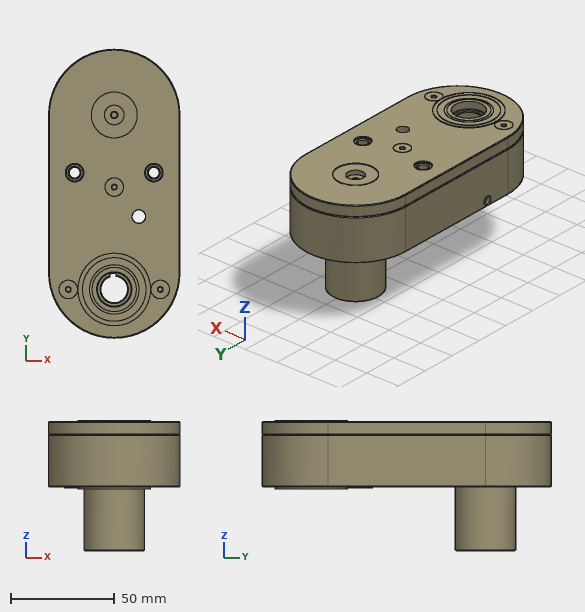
import cadquery as cq

length = 139.7
width = 63.5
body_height = 25.3
cover_height = 6.4
edge_chamfer = 0.4
end_y = (length - width) / 2
top_z = body_height + cover_height

shaft_diameter = 29.3
shaft_length = 30.9
shaft_chamfer = 0.5

hub_y = -46.2
boss_diameter = 35.0
boss_top_height = 0.4
boss_bottom_height = 1.0
seat_diameter = 30.7
seat_depth = 0.3
ring_outer_diameter = 23.9
ring_inner_diameter = 21.4
ring_groove_depth = 0.1
hub_counterbore_diameter = 17.0
hub_floor_chamfer = 0.4
hub_counterbore_depth = 4.5
bore_diameter = 12.9
bore_chamfer = 0.4
keyway_width = 3.0
keyway_reach = 7.7
keyway_angle = 5.0

cap_diameter = 22.2
cap_depth = 0.4
cap_counterbore_diameter = 9.5
cap_counterbore_depth = 2.5
center_hole_diameter = 2.8
center_hole_chamfer = 0.35
center_hole_depth = 2.8

mount_x = 19.1
mount_y = 10.2
mount_counterbore_diameter = 8.1
mount_counterbore_depth = 0.5
mount_mouth_chamfer = 0.4
mount_hole_diameter = 5.2
mount_hole_chamfer = 0.5

plain_x = 11.9
plain_y = -11.0
plain_diameter = 6.4

screw_head_diameter = 9.0
screw_head_depth = 0.1
socket_diameter = 2.2
socket_chamfer = 0.3
socket_depth = 1.4
side_screw_x = 22.2
middle_screw_y = 3.2
screw_points = [(0, middle_screw_y), (-side_screw_x, hub_y), (side_screw_x, hub_y)]

set_screw_y = -23.0
set_screw_z = 3.0
set_screw_diameter = 4.0
set_screw_mouth_diameter = 5.2
set_screw_depth = 2.1
pad_x = -17.5
pad_diameter = 13.1
pad_height = 0.4


def cylinder(diameter, bottom_z, height, x=0.0, y=0.0):
    return cq.Workplane("XY", origin=(x, y, bottom_z)).circle(diameter / 2).extrude(height)


def pocket(diameter, mouth_z, depth, x=0.0, y=0.0):
    """Cutter going down from mouth_z."""
    return cylinder(diameter, mouth_z - depth, depth, x, y)


def countersink(diameter, chamfer, mouth_z, x, y):
    """45 degree cone cutter widening a hole by the chamfer at its mouth."""
    radius = diameter / 2
    floor = cq.Vector(x, y, mouth_z - chamfer)
    return cq.Workplane(cq.Solid.makeCone(radius, radius + chamfer, chamfer, floor))


def chamfered_pocket(diameter, chamfer, mouth_z, depth, x, y):
    return pocket(diameter, mouth_z, depth, x, y).union(countersink(diameter, chamfer, mouth_z, x, y))


def stadium(bottom_z, height):
    slab = cq.Workplane("XY", origin=(0, 0, bottom_z)).slot2D(length, width, 90).extrude(height)
    return slab.faces("<Z or >Z").chamfer(edge_chamfer)


def make_shaft():
    shaft = cylinder(shaft_diameter, -shaft_length, shaft_length, y=end_y)
    return shaft.faces("<Z").chamfer(shaft_chamfer)


def make_hub_cutter():
    boss_top = top_z + boss_top_height
    full_height = boss_top + boss_bottom_height
    counterbore_floor = boss_top - hub_counterbore_depth
    seat = pocket(seat_diameter, boss_top, seat_depth, y=hub_y)
    seat = seat.cut(pocket(ring_outer_diameter, boss_top, seat_depth, y=hub_y))
    groove = pocket(ring_outer_diameter, boss_top, ring_groove_depth, y=hub_y)
    groove = groove.cut(pocket(ring_inner_diameter, boss_top, ring_groove_depth, y=hub_y))
    straight_depth = hub_counterbore_depth - hub_floor_chamfer
    floor_diameter = hub_counterbore_diameter - 2 * hub_floor_chamfer
    counterbore = pocket(hub_counterbore_diameter, boss_top, straight_depth, y=hub_y)
    taper = countersink(floor_diameter, hub_floor_chamfer, boss_top - straight_depth, 0, hub_y)
    bore_length = counterbore_floor + boss_bottom_height
    bore = chamfered_pocket(bore_diameter, bore_chamfer, counterbore_floor, bore_length, 0, hub_y)
    keyway_base = cq.Workplane("XY", origin=(0, hub_y, -boss_bottom_height))
    keyway_base = keyway_base.transformed(rotate=(0, 0, keyway_angle)).center(0, keyway_reach / 2)
    keyway = keyway_base.rect(keyway_width, keyway_reach).extrude(full_height)
    cutter = seat
    for tool in (groove, counterbore, taper, bore, keyway):
        cutter = cutter.union(tool)
    return cutter


def make_cap_cutter():
    cap_floor = top_z - cap_depth
    counterbore_floor = cap_floor - cap_counterbore_depth
    cap = pocket(cap_diameter, top_z, cap_depth, y=end_y)
    counterbore = pocket(cap_counterbore_diameter, cap_floor, cap_counterbore_depth, y=end_y)
    center_hole = chamfered_pocket(
        center_hole_diameter, center_hole_chamfer, counterbore_floor, center_hole_depth, 0, end_y
    )
    return cap.union(counterbore).union(center_hole)


def make_mount_cutter(x):
    counterbore = chamfered_pocket(
        mount_counterbore_diameter, mount_mouth_chamfer, top_z, mount_counterbore_depth, x, mount_y
    )
    floor_z = top_z - mount_counterbore_depth
    hole = chamfered_pocket(mount_hole_diameter, mount_hole_chamfer, floor_z, floor_z, x, mount_y)
    return counterbore.union(hole)


def make_screw_cutter(x, y):
    head = pocket(screw_head_diameter, top_z, screw_head_depth, x, y)
    head_z = top_z - screw_head_depth
    socket = chamfered_pocket(socket_diameter, socket_chamfer, head_z, socket_depth, x, y)
    return head.union(socket)


def make_set_screw_cutter():
    mouth_radius = set_screw_mouth_diameter / 2
    hole_radius = set_screw_diameter / 2
    wall = cq.Vector(-width / 2, set_screw_y, set_screw_z)
    inward = cq.Vector(1, 0, 0)
    mouth = cq.Solid.makeCone(mouth_radius, hole_radius, mouth_radius - hole_radius, wall, inward)
    hole = cq.Solid.makeCylinder(hole_radius, set_screw_depth, wall, inward)
    return cq.Workplane(mouth).union(cq.Workplane(hole))


result = stadium(0, body_height).union(stadium(body_height, cover_height))

result = result.union(make_shaft())
hub_height = boss_bottom_height + top_z + boss_top_height
result = result.union(cylinder(boss_diameter, -boss_bottom_height, hub_height, y=hub_y))
result = result.union(cylinder(pad_diameter, -pad_height, pad_height, pad_x, set_screw_y))

result = result.cut(make_hub_cutter())
result = result.cut(make_cap_cutter())
for mount_side in (-1, 1):
    result = result.cut(make_mount_cutter(mount_side * mount_x))
result = result.cut(pocket(plain_diameter, top_z, top_z, plain_x, plain_y))
for screw_x, screw_y in screw_points:
    result = result.cut(make_screw_cutter(screw_x, screw_y))
result = result.cut(make_set_screw_cutter())